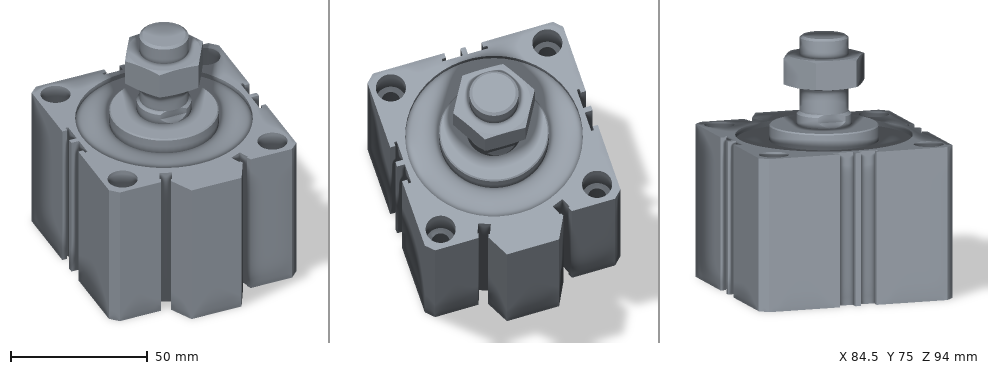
import cadquery as cq
import math

total_height = 94.0
body_height = 57.0
collar_height = 4.0
collar_top = body_height + collar_height

body_side = 75.0
body_half = body_side / 2
corner_chamfer = 3.0

hole_pitch = 60.0
hole_diameter = 6.7
counterbore_diameter = 11.0
counterbore_depth = 10.5

slot_depth = 3.0
slot_mouth_width = 14.3
slot_floor_width = 17.5
slot_lip_thickness = 2.0
slot_rib_width = 2.0
slot_sides = (90, 180, 270)

rail_reach = 47.0
rail_face_width = 20.0
rail_root_width = 29.6
groove_tilt = 22.5
groove_floor_x = 32.7
groove_floor_y = 14.0
groove_width = 4.6
groove_length = 4.0
groove_mouth_width = 3.6
groove_mouth_length = 2.8

recess_diameter = 65.0
recess_depth = 2.0
collar_diameter = 40.0
collar_chamfer = 0.5

rod_diameter = 20.0
thread_diameter = 18.0
thread_bottom = 66.0
thread_tip_chamfer = 1.0
thread_tip_chamfer_height = 0.75
flats_width = 17.0
flats_bottom = 63.0

nut_bottom = 75.95
nut_height = 11.0
nut_across_flats = 27.1
nut_face_diameter = 26.7
nut_chamfer_angle = 15.0


def make_side_slot():
    """T-slot on the +X side: wide floor, narrower mouth, rib along the middle."""
    floor_depth = slot_depth - slot_lip_thickness
    mouth = cq.Workplane("XY").box(slot_depth, slot_mouth_width, body_height, centered=(False, True, False))
    floor = cq.Workplane("XY").box(floor_depth, slot_floor_width, body_height, centered=(False, True, False))
    rib = cq.Workplane("XY").box(slot_depth, slot_rib_width, body_height, centered=(False, True, False))
    return mouth.union(floor).cut(rib).translate((body_half - slot_depth, 0, 0))


def make_sensor_groove():
    """Undercut groove beside the rail on the +Y half, tilted outward."""
    mouth_reach = groove_length + groove_mouth_length
    pocket = cq.Workplane("XY").box(groove_length, groove_width, body_height, centered=(False, True, False))
    mouth = cq.Workplane("XY").box(mouth_reach, groove_mouth_width, body_height, centered=(False, True, False))
    groove = pocket.union(mouth).rotate((0, 0, 0), (0, 0, 1), groove_tilt)
    return groove.translate((groove_floor_x, groove_floor_y, 0))


def make_sensor_rail():
    """Rail that tapers from the +X side of the body to its outer face."""
    outline = [
        (0, -rail_root_width / 2),
        (body_half, -rail_root_width / 2),
        (rail_reach, -rail_face_width / 2),
        (rail_reach, rail_face_width / 2),
        (body_half, rail_root_width / 2),
        (0, rail_root_width / 2),
    ]
    return cq.Workplane("XY").polyline(outline).close().extrude(body_height)


def make_housing():
    body = cq.Workplane("XY").rect(body_side, body_side).extrude(body_height)
    body = body.edges("|Z").chamfer(corner_chamfer)
    body = body.union(make_sensor_rail())

    groove = make_sensor_groove()
    body = body.cut(groove).cut(groove.mirror("XZ"))

    for angle in slot_sides:
        body = body.cut(make_side_slot().rotate((0, 0, 0), (0, 0, 1), angle))

    body = (
        body.faces(">Z").workplane(origin=(0, 0, body_height))
        .rect(hole_pitch, hole_pitch, forConstruction=True).vertices()
        .cboreHole(hole_diameter, counterbore_diameter, counterbore_depth)
    )

    recess_floor = body_height - recess_depth
    recess = cq.Workplane("XY").workplane(offset=recess_floor).circle(recess_diameter / 2).extrude(recess_depth)
    collar = (
        cq.Workplane("XY").workplane(offset=recess_floor)
        .circle(collar_diameter / 2).extrude(collar_top - recess_floor)
        .faces(">Z").edges().chamfer(collar_chamfer)
    )
    return body.cut(recess).union(collar)


def make_rod_shaft():
    """Rod standing on the collar, stepping down to a chamfered thread."""
    rod_radius = rod_diameter / 2
    thread_radius = thread_diameter / 2
    shoulder_chamfer = rod_radius - thread_radius
    profile = [
        (0, collar_top),
        (rod_radius, collar_top),
        (rod_radius, thread_bottom - shoulder_chamfer),
        (thread_radius, thread_bottom),
        (thread_radius, total_height - thread_tip_chamfer_height),
        (thread_radius - thread_tip_chamfer, total_height),
        (0, total_height),
    ]
    return cq.Workplane("XZ").polyline(profile).close().revolve(360, (0, 0, 0), (0, 1, 0))


def make_wrench_flat():
    """Cut for the flat on the +X side, with a floor sloping out to the collar."""
    profile = [
        (flats_width / 2, thread_bottom),
        (flats_width / 2, flats_bottom),
        (rod_diameter / 2, collar_top),
        (rod_diameter / 2, thread_bottom),
    ]
    return cq.Workplane("XZ").polyline(profile).close().extrude(rod_diameter / 2, both=True)


def make_nut():
    """Hexagon with corners on the Y axis, both ends turned to a cone."""
    corner_radius = nut_across_flats / math.sqrt(3)
    face_radius = nut_face_diameter / 2
    chamfer_height = (corner_radius - face_radius) * math.tan(math.radians(nut_chamfer_angle))
    hexagon = (
        cq.Workplane("XY").workplane(offset=nut_bottom)
        .polygon(6, 2 * corner_radius).extrude(nut_height)
        .rotate((0, 0, 0), (0, 0, 1), 90)
    )
    nut_top = nut_bottom + nut_height
    turned_profile = [
        (0, nut_bottom),
        (face_radius, nut_bottom),
        (corner_radius, nut_bottom + chamfer_height),
        (corner_radius, nut_top - chamfer_height),
        (face_radius, nut_top),
        (0, nut_top),
    ]
    turned = cq.Workplane("XZ").polyline(turned_profile).close().revolve(360, (0, 0, 0), (0, 1, 0))
    return hexagon.intersect(turned)


def make_piston_rod():
    flat = make_wrench_flat()
    shaft = make_rod_shaft().cut(flat).cut(flat.mirror("YZ"))
    return shaft.union(make_nut())


housing = make_housing()
piston_rod = make_piston_rod()

result = cq.Compound.makeCompound([housing.solids().val(), piston_rod.solids().val()])